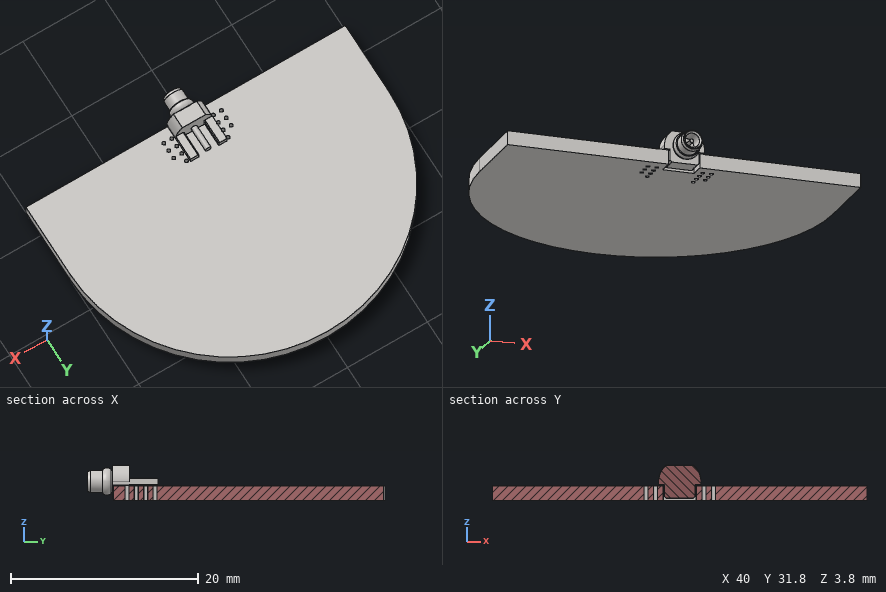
import cadquery as cq

BOARD_WIDTH = 40.0
BOARD_RADIUS = BOARD_WIDTH / 2
BOARD_STRAIGHT = 9.0
BOARD_THICKNESS = 1.6

HOLE_DIAMETER = 0.4
HOLE_PITCH = 1.0
FIRST_HOLE_X = 2.6
FIRST_HOLE_Y = 1.45
HOLES_PER_COLUMN = (4, 3)

CLEARANCE = 0.1
AXIS_Z = 2.05
FLANGE_RADIUS = 2.3
FLANGE_TOP = 3.8
FLANGE_FRONT = -0.1
FLANGE_BACK = 1.7
LEDGE_Z = 1.7
BLOCK_WIDTH = 3.3
BLOCK_BOTTOM = 0.25
BLOCK_CHAMFER = 0.2

NOTCH_WIDTH = BLOCK_WIDTH + 2 * CLEARANCE
NOTCH_DEPTH = FLANGE_BACK + CLEARANCE

LEG_BACK = 4.75
LEG_TOP = 2.35
LEG_INNER_X = 1.25
LEG_BEVEL = 0.1
PIN_RADIUS = 0.35
PIN_BACK = 4.65

NECK_RADIUS = 1.2
NECK_END = -0.25
BEAD_EDGE_RADIUS = 1.3
BEAD_RADIUS = 1.5
BEAD_END = -1.15
BARREL_RADIUS = 1.2
BARREL_END = -2.45
TIP_RADIUS = 1.1
TIP_END = -2.8
BORE_RADIUS = 0.8
BORE_MOUTH_RADIUS = 1.0
BORE_MOUTH_DEPTH = 0.2
BORE_DEPTH = 2.0
CONTACT_RADIUS = 0.2
CONTACT_END = -2.4


def y_extrusion(sketch, y_start, y_end):
    """Make an XZ sketch function into a solid between two Y positions."""
    plane = cq.Workplane("XZ", origin=(0, y_end, 0))
    return sketch(plane).extrude(y_end - y_start)


def cylinder_along_y(radius, y_start, y_end):
    return y_extrusion(lambda plane: plane.center(0, AXIS_Z).circle(radius), y_start, y_end)


def make_board():
    outline = (
        cq.Workplane("XY")
        .moveTo(-BOARD_RADIUS, 0)
        .lineTo(BOARD_RADIUS, 0)
        .lineTo(BOARD_RADIUS, BOARD_STRAIGHT)
        .threePointArc((0, BOARD_STRAIGHT + BOARD_RADIUS), (-BOARD_RADIUS, BOARD_STRAIGHT))
        .close()
    )
    board = outline.extrude(BOARD_THICKNESS)
    notch = cq.Workplane("XY").rect(NOTCH_WIDTH, 2 * NOTCH_DEPTH).extrude(BOARD_THICKNESS)

    hole_centers = [
        (side * (FIRST_HOLE_X + column * HOLE_PITCH), FIRST_HOLE_Y + row * HOLE_PITCH)
        for side in (-1, 1)
        for column, hole_count in enumerate(HOLES_PER_COLUMN)
        for row in range(hole_count)
    ]
    holes = (
        cq.Workplane("XY")
        .pushPoints(hole_centers)
        .circle(HOLE_DIAMETER / 2)
        .extrude(BOARD_THICKNESS)
    )
    return board.cut(notch).cut(holes)


def make_flange():
    """Round-shouldered upper flange with a flat top, plus the block in the notch."""
    top_half_width = (FLANGE_RADIUS**2 - (FLANGE_TOP - AXIS_Z) ** 2) ** 0.5
    shoulder = FLANGE_RADIUS / 2**0.5

    def upper_outline(plane):
        return (
            plane.moveTo(-FLANGE_RADIUS, LEDGE_Z)
            .lineTo(-FLANGE_RADIUS, AXIS_Z)
            .threePointArc((-shoulder, AXIS_Z + shoulder), (-top_half_width, FLANGE_TOP))
            .lineTo(top_half_width, FLANGE_TOP)
            .threePointArc((shoulder, AXIS_Z + shoulder), (FLANGE_RADIUS, AXIS_Z))
            .lineTo(FLANGE_RADIUS, LEDGE_Z)
            .close()
        )

    def block_outline(plane):
        return plane.center(0, (BLOCK_BOTTOM + AXIS_Z) / 2).rect(BLOCK_WIDTH, AXIS_Z - BLOCK_BOTTOM)

    upper = y_extrusion(upper_outline, FLANGE_FRONT, FLANGE_BACK)
    block = y_extrusion(block_outline, FLANGE_FRONT, FLANGE_BACK)
    block = block.faces("<Z").edges("|Y").chamfer(BLOCK_CHAMFER)
    return upper.union(block)


def make_leg():
    """Right-hand solder leg, its upper inner edge bevelled."""

    def outline(plane):
        return plane.polyline(
            [
                (LEG_INNER_X, LEDGE_Z),
                (FLANGE_RADIUS, LEDGE_Z),
                (FLANGE_RADIUS, LEG_TOP),
                (LEG_INNER_X + LEG_BEVEL, LEG_TOP),
                (LEG_INNER_X, LEG_TOP - LEG_BEVEL),
            ]
        ).close()

    return y_extrusion(outline, FLANGE_BACK, LEG_BACK)


def make_barrel():
    """Turned barrel with its bead and tapered tip, bored around the contact."""
    bead_middle = (NECK_END + BEAD_END) / 2
    profile = (
        cq.Workplane("XY")
        .moveTo(0, FLANGE_FRONT)
        .lineTo(NECK_RADIUS, FLANGE_FRONT)
        .lineTo(NECK_RADIUS, NECK_END)
        .lineTo(BEAD_EDGE_RADIUS, NECK_END)
        .threePointArc((BEAD_RADIUS, bead_middle), (BEAD_EDGE_RADIUS, BEAD_END))
        .lineTo(BARREL_RADIUS, BEAD_END)
        .lineTo(BARREL_RADIUS, BARREL_END)
        .lineTo(TIP_RADIUS, TIP_END)
        .lineTo(BORE_MOUTH_RADIUS, TIP_END)
        .lineTo(BORE_RADIUS, TIP_END + BORE_MOUTH_DEPTH)
        .lineTo(BORE_RADIUS, TIP_END + BORE_DEPTH)
        .lineTo(CONTACT_RADIUS, TIP_END + BORE_DEPTH)
        .lineTo(CONTACT_RADIUS, CONTACT_END)
        .lineTo(0, CONTACT_END)
        .close()
    )
    return profile.revolve(360, (0, 0, 0), (0, 1, 0)).translate((0, 0, AXIS_Z))


def make_connector():
    leg = make_leg()
    signal_pin = cylinder_along_y(PIN_RADIUS, FLANGE_FRONT, PIN_BACK)
    return (
        make_flange()
        .union(leg)
        .union(leg.mirror("YZ"))
        .union(signal_pin)
        .union(make_barrel())
    )


board = make_board()
connector = make_connector()

result = cq.Compound.makeCompound([board.val(), connector.val()])